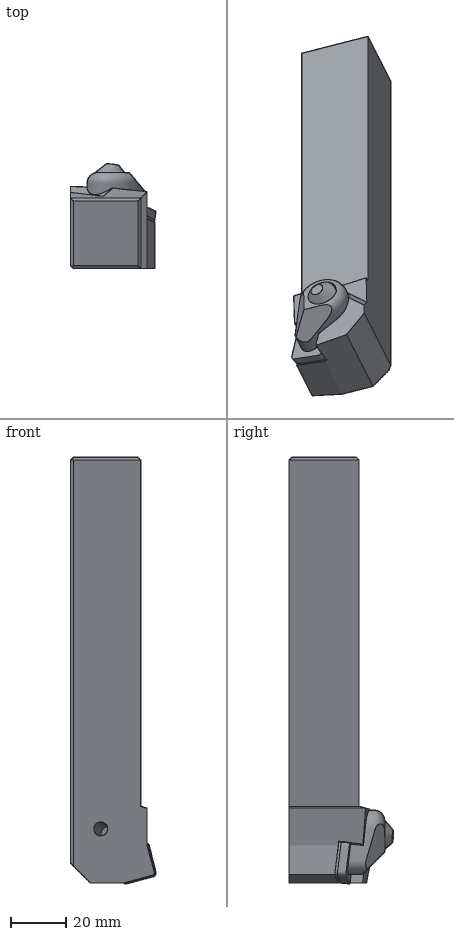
import cadquery as cq
import math

total_length = 154.9
shank_side = 25.5
edge_chamfer = 1.1
shank_start_z = 23.2
heel_z = 0.3

head_right = 27.9
head_depth = 31.0
shoulder_z = 28.2
shoulder_slope = math.radians(16)
heel_chamfer = 7.3

lead_angle = math.radians(15)
rake_angle = math.radians(7)
insert_side = 12.7
insert_thickness = 3.1
corner_radius = 1.4
shim_thickness = 1.0
stack_thickness = insert_thickness + shim_thickness
nose_x = 31.5
nose_y = 20.6
nose_z = 3.0
holder_inset = 0.6
pocket_height = 12.4

axis_start = cq.Vector(11.0, 0, 20.0)
axis_end = cq.Vector(15.3, 38.0, 17.2)
screw_axis = (axis_end - axis_start).normalized()
screw_radius = 2.5
screw_start = 23.2
screw_end = 34.1
seat_distance = 29.0
seat_cut_size = 124.0

relief_depth = 3.4
relief_offset = 8.4
relief_size = 46.5
relief_turn = 45
ramp_taper = 38

clamp_centre_x = 15.3
clamp_centre_z = 17.5
clamp_radius = 9.3
clamp_nose_x = 23.2
clamp_nose_z = 7.5
clamp_nose_radius = 4.0
clamp_foot_y = 20.1
clamp_top_y = 34.9
clamp_edge_fillet = 3.9
end_slope_z = 11.6
right_slope_x = 21.4
right_slope_ratio = 0.84
knob_top = 38.1
knob_top_radius = 2.3
knob_height = 3.7
knob_taper = 45
knob_base_radius = knob_top_radius + knob_height * math.tan(math.radians(knob_taper))


def tilted_plane(distance):
    """Plane square to the screw axis; local X follows the part's X as closely as it can."""
    return cq.Plane(origin=(axis_start + screw_axis * distance).toTuple(), xDir=(1, 0, 0),
                    normal=screw_axis.toTuple())


def insert_plane():
    """Plane of the insert's top face, with its origin at the sharp nose corner."""
    side_out = cq.Vector(math.cos(lead_angle), 0, math.sin(lead_angle))
    end_out = cq.Vector(math.sin(lead_angle), 0, -math.cos(lead_angle))
    normal = cq.Vector(0, 1, 0) + (side_out + end_out) * math.tan(rake_angle)
    along_end = side_out * -1 + cq.Vector(0, math.tan(rake_angle), 0)
    return cq.Plane(origin=(nose_x, nose_y, nose_z), xDir=along_end.toTuple(), normal=normal.toTuple())


def square_plate(offset, height, radius=0):
    """Plate with the insert's outline, rising from `offset` along the insert's normal."""
    plate = (
        cq.Workplane("XY").workplane(offset=offset)
        .rect(insert_side, insert_side, centered=False).extrude(height)
    )
    if radius:
        plate = plate.edges("|Z").fillet(radius)
    return cq.Workplane(plate.val().moved(cq.Location(insert_plane())))


def make_insert():
    return square_plate(-insert_thickness, insert_thickness, corner_radius)


def make_shim():
    return square_plate(-stack_thickness, shim_thickness, corner_radius)


def make_insert_pocket():
    """Square-cornered pocket under and above the insert, open towards the seat."""
    return square_plate(-stack_thickness, stack_thickness + pocket_height)


def screw_cylinder(start, end):
    return cq.Workplane(tilted_plane(start)).circle(screw_radius).extrude(end - start)


def make_shank():
    shank = cq.Workplane("XY").box(shank_side, shank_side, total_length - shank_start_z, centered=False)
    shank = shank.translate((0, 0, shank_start_z))
    shank = shank.faces(">Z").edges().chamfer(edge_chamfer)
    return shank.edges("|Z and <X and <Y").chamfer(edge_chamfer)


def make_head():
    """Head with its two insert flanks, heel chamfer and sloped shoulders, cut off at the clamp seat."""
    corner_x = nose_x - holder_inset * (math.cos(lead_angle) + math.sin(lead_angle))
    corner_z = nose_z + holder_inset * (math.cos(lead_angle) - math.sin(lead_angle))
    flank_top_z = corner_z + (corner_x - head_right) / math.tan(lead_angle)
    end_left_x = corner_x - (corner_z - heel_z) / math.tan(lead_angle)
    outline = (
        cq.Workplane("XZ")
        .polyline([
            (0, heel_z + heel_chamfer),
            (heel_chamfer, heel_z),
            (end_left_x, heel_z),
            (corner_x, corner_z),
            (head_right, flank_top_z),
            (head_right, shoulder_z - (head_right - shank_side) * math.tan(shoulder_slope)),
            (shank_side, shoulder_z),
            (0, shoulder_z),
        ]).close().extrude(-head_depth)
    )
    shoulder_drop = (head_depth - shank_side) * math.tan(shoulder_slope)
    side = (
        cq.Workplane("YZ")
        .polyline([
            (0, 0),
            (head_depth, 0),
            (head_depth, shoulder_z - shoulder_drop),
            (shank_side, shoulder_z),
            (0, shoulder_z),
        ]).close().extrude(nose_x)
    )
    front_edge = (
        cq.Workplane("XY")
        .polyline([(0, 0), (edge_chamfer, 0), (0, edge_chamfer)]).close().extrude(shoulder_z)
    )
    above_seat = (
        cq.Workplane(tilted_plane(seat_distance))
        .rect(seat_cut_size, seat_cut_size).extrude(head_depth)
    )
    return outline.intersect(side).cut(front_edge).cut(above_seat)


def make_relief():
    """Block that sinks the back left corner of the head, with its sloped side along the diagonal."""
    return (
        cq.Workplane(tilted_plane(seat_distance - relief_depth))
        .transformed(rotate=(0, 0, relief_turn))
        .center(-relief_offset - relief_size / 2, 0)
        .rect(relief_size, relief_size).extrude(2 * relief_depth, taper=-ramp_taper)
    )


def make_holder():
    holder = make_shank().union(make_head()).clean()
    screw_hole = screw_cylinder(-screw_radius, seat_distance)
    return holder.cut(make_insert_pocket()).cut(make_relief()).cut(screw_hole)


def make_knob():
    """Cone around the screw axis, with a flat end."""
    return (
        cq.Workplane(tilted_plane(knob_top - knob_height)).circle(knob_base_radius)
        .extrude(knob_height, taper=knob_taper)
    )


def make_nose_slopes():
    """Block whose two sloped sides trim the clamp towards its nose."""
    run = clamp_top_y - clamp_foot_y
    end_slope = (
        cq.Workplane("YZ")
        .polyline([
            (clamp_foot_y, end_slope_z - run),
            (clamp_top_y, end_slope_z),
            (clamp_top_y, shoulder_z),
            (clamp_foot_y, shoulder_z),
        ]).close().extrude(nose_x)
    )
    right_slope = (
        cq.Workplane("XY")
        .polyline([
            (0, clamp_foot_y),
            (right_slope_x + run * right_slope_ratio, clamp_foot_y),
            (right_slope_x, clamp_top_y),
            (0, clamp_top_y),
        ]).close().extrude(shoulder_z)
    )
    return end_slope.intersect(right_slope)


def make_clamp(holder):
    plan = (
        cq.Sketch()
        .arc((clamp_centre_x, clamp_centre_z), clamp_radius, 0, 360)
        .arc((clamp_nose_x, clamp_nose_z), clamp_nose_radius, 0, 360)
        .hull()
    )
    body = cq.Workplane("XZ", origin=(0, clamp_foot_y, 0)).placeSketch(plan)
    body = body.extrude(clamp_foot_y - clamp_top_y).faces(">Y").edges().fillet(clamp_edge_fillet)
    return (
        body.intersect(make_nose_slopes()).union(make_knob())
        .cut(holder).cut(square_plate(-stack_thickness, stack_thickness)).cut(screw_cylinder(0, screw_end))
    )


holder = make_holder()
insert = make_insert()
shim = make_shim()
clamp = make_clamp(holder)
screw = screw_cylinder(screw_start, screw_end)

result = cq.Compound.makeCompound([
    holder.val(), insert.val(), shim.val(), clamp.val(), screw.val(),
])